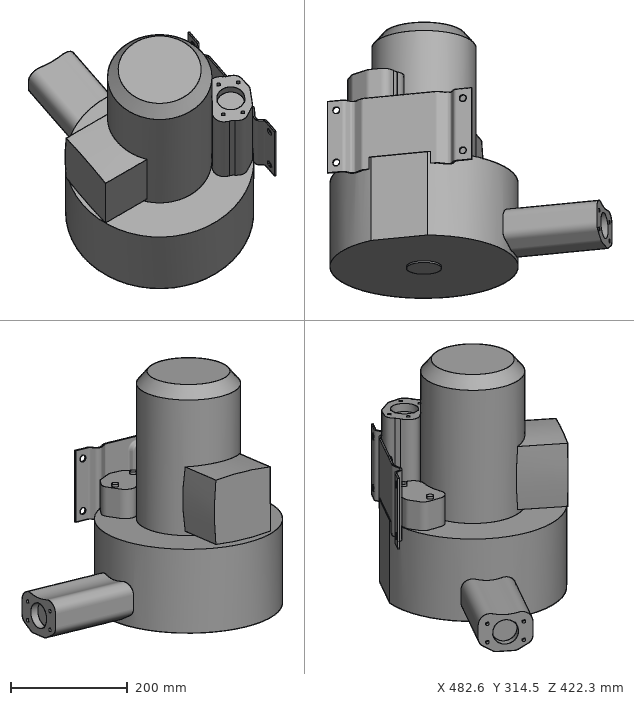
import cadquery as cq
import math

housing_radius = 161.25
housing_height = 152.0
back_flat_y = 153.25
foot_radius = 30.0
foot_height = 3.0

motor_radius = 89.4
motor_top_z = 419.3
motor_cap_radius = 71.0
motor_cap_height = 21.8

box_half_width = 58.3
box_height = 116.4
box_center_z = 218.2
box_front_y = -155.0
box_bulge = 3.1

concave_radius = motor_radius
lobe_radius = 20.0
lobe_center_u = 27.7
body_half_width = lobe_center_u + lobe_radius
body_bottom_v = -156.9
lower_corner_radius = 16.4
lower_side_angle = 30.0
bottom_edge_radius = 13.0
side_straight_length = 25.0
port_v = -121.4
screw_offset_u = 31.7
screw_offset_v = 17.0
screw_hole_radius = 3.0
screw_hole_depth = 10.0
port_depth = 15.0

spout_end_x = -321.32
spout_port_z = 43.0
spout_port_radius = 22.4

silencer_turn = 28.0
silencer_clearance = 1.3
open_silencer_top_z = 313.0
open_silencer_port_radius = 24.0
groove_v = -118.2
groove_width = 9.5
groove_depth = 1.0

closed_silencer_top_z = 205.0
pin_radius = 6.0
pin_height = 4.5
pin_offset_u = 36.5
pin_v = port_v + silencer_clearance

plate_thickness = 3.0
bracket_bottom_z = 130.7
bracket_top_z = 260.3
bracket_mid_z = (bracket_bottom_z + bracket_top_z) / 2
bracket_end_x = 128.3
flange_bend_x = 98.0
valley_outer_x = 89.0
valley_inner_x = 82.5
web_bend_x = 67.0
valley_back_y = 141.5
web_back_y = 151.6
web_front_y = web_back_y - plate_thickness
inner_bend_radius = 5.0
outer_bend_radius = inner_bend_radius + plate_thickness
bracket_hole_x = 112.7
bracket_hole_spacing = 95.0
bracket_hole_radius = 6.0

rib_half_width = 15.0
rib_front_y = 140.5
rib_top_z = 252.0
rib_bottom_z = 2 * bracket_mid_z - rib_top_z
rib_edge_fillet = 3.5
rib_draft_angle = 25.0

select_margin = 0.1


def silencer_outline(plane):
    """Closed silencer cross-section on a workplane whose origin is the concave centre."""
    center_gap = concave_radius + lobe_radius
    lobe_v = -math.sqrt(center_gap**2 - lobe_center_u**2)
    blend = concave_radius / center_gap
    blend_u = lobe_center_u * blend
    blend_v = lobe_v * blend
    lobe_mid_angle = (math.atan2(-lobe_v, -lobe_center_u)) / 2
    lobe_mid_u = lobe_center_u + lobe_radius * math.cos(lobe_mid_angle)
    lobe_mid_v = lobe_v + lobe_radius * math.sin(lobe_mid_angle)

    corner_u = body_half_width - lower_corner_radius
    corner_v = lobe_v - side_straight_length
    slope = math.radians(lower_side_angle)
    slope_u = corner_u + lower_corner_radius * math.sin(slope)
    slope_v = corner_v - lower_corner_radius * math.cos(slope)
    corner_mid_angle = (math.pi / 2 - slope) / 2
    corner_mid_u = corner_u + lower_corner_radius * math.cos(corner_mid_angle)
    corner_mid_v = corner_v - lower_corner_radius * math.sin(corner_mid_angle)
    edge_u = slope_u - (slope_v - body_bottom_v) / math.tan(slope)
    edge_length = bottom_edge_radius * math.tan(slope / 2)
    flat_u = edge_u - edge_length
    edge_mid_u = flat_u + bottom_edge_radius * math.sin(slope / 2)
    edge_mid_v = body_bottom_v + bottom_edge_radius * (1 - math.cos(slope / 2))
    edge_top_u = flat_u + bottom_edge_radius * math.sin(slope)
    edge_top_v = body_bottom_v + bottom_edge_radius * (1 - math.cos(slope))

    return (
        plane.moveTo(-blend_u, blend_v)
        .threePointArc((0, -concave_radius), (blend_u, blend_v))
        .threePointArc((lobe_mid_u, lobe_mid_v), (body_half_width, lobe_v))
        .lineTo(body_half_width, corner_v)
        .threePointArc((corner_mid_u, corner_mid_v), (slope_u, slope_v))
        .lineTo(edge_top_u, edge_top_v)
        .threePointArc((edge_mid_u, edge_mid_v), (flat_u, body_bottom_v))
        .lineTo(-flat_u, body_bottom_v)
        .threePointArc((-edge_mid_u, edge_mid_v), (-edge_top_u, edge_top_v))
        .lineTo(-slope_u, slope_v)
        .threePointArc((-corner_mid_u, corner_mid_v), (-body_half_width, corner_v))
        .lineTo(-body_half_width, lobe_v)
        .threePointArc((-lobe_mid_u, lobe_mid_v), (-blend_u, blend_v))
        .close()
    )


def port_and_screw_holes(plane, port_radius):
    """Blind port with four screw holes, cut along the negative normal of the end face."""
    screw_points = [
        (side * screw_offset_u, port_v + row * screw_offset_v) for side in (-1, 1) for row in (-1, 1)
    ]
    port = plane.center(0, port_v).circle(port_radius).extrude(-port_depth)
    screws = plane.pushPoints(screw_points).circle(screw_hole_radius).extrude(-screw_hole_depth)
    return port.union(screws)


def silencer_plane(angle, z):
    """Horizontal plane near the motor axis, its -V axis turned from the back (+Y) towards +X by `angle`."""
    turn = math.radians(angle)
    away_x = math.sin(turn)
    away_y = math.cos(turn)
    origin = (silencer_clearance * away_x, silencer_clearance * away_y, z)
    return cq.Workplane(cq.Plane(origin=origin, xDir=(-away_y, away_x, 0), normal=(0, 0, 1)))


def make_housing():
    drum = cq.Workplane("XY").circle(housing_radius).extrude(housing_height)
    behind_flat = cq.Workplane("XY").box(
        2 * housing_radius, housing_radius, housing_height, centered=(True, False, False)
    ).translate((0, back_flat_y, 0))
    foot = cq.Workplane("XY").circle(foot_radius).extrude(-foot_height)
    return drum.cut(behind_flat).union(foot)


def make_motor():
    return (
        cq.Workplane("XZ")
        .lineTo(motor_radius, 0)
        .lineTo(motor_radius, motor_top_z - motor_cap_height)
        .lineTo(motor_cap_radius, motor_top_z)
        .lineTo(0, motor_top_z)
        .close()
        .revolve(360, (0, 0, 0), (0, 1, 0))
    )


def make_terminal_box():
    """Box whose left, top and bottom sides bulge outwards; the right side is flat."""
    half = box_half_width
    low = box_center_z - box_height / 2
    high = box_center_z + box_height / 2
    return (
        cq.Workplane("XZ")
        .moveTo(half, low)
        .lineTo(half, high)
        .threePointArc((0, high + box_bulge), (-half, high))
        .threePointArc((-half - box_bulge, box_center_z), (-half, low))
        .threePointArc((0, low - box_bulge), (half, low))
        .close()
        .extrude(-box_front_y)
    )


def make_spout():
    end_plane = cq.Workplane(
        cq.Plane(origin=(spout_end_x, 0, spout_port_z - port_v), xDir=(0, -1, 0), normal=(-1, 0, 0))
    )
    body = silencer_outline(end_plane).extrude(spout_end_x)
    return body.cut(port_and_screw_holes(end_plane, spout_port_radius))


def make_open_silencer():
    top = silencer_plane(silencer_turn, open_silencer_top_z)
    body = silencer_outline(top).extrude(housing_height - open_silencer_top_z)
    groove_points = [(side * body_half_width, groove_v) for side in (-1, 1)]
    grooves = (
        top.pushPoints(groove_points)
        .rect(2 * groove_depth, groove_width)
        .extrude(housing_height - open_silencer_top_z)
    )
    return body.cut(grooves).cut(port_and_screw_holes(top, open_silencer_port_radius))


def make_closed_silencer():
    top = silencer_plane(-silencer_turn, closed_silencer_top_z)
    body = silencer_outline(top).extrude(housing_height - closed_silencer_top_z)
    pin_points = [(side * pin_offset_u, pin_v) for side in (-1, 1)]
    pins = top.pushPoints(pin_points).circle(pin_radius).extrude(pin_height)
    return body.union(pins)


def bend_edges_at(y):
    """Selector for the upright bend edges of the bracket sheet at depth `y`."""
    reach = flange_bend_x + plate_thickness
    return cq.selectors.BoxSelector(
        (-reach, y - select_margin, bracket_mid_z - select_margin),
        (reach, y + select_margin, bracket_mid_z + select_margin),
    )


def make_bracket():
    """Bent sheet: two end flanges, two valleys and a central web."""
    slope_out = math.atan2(back_flat_y - valley_back_y, flange_bend_x - valley_outer_x)
    slope_in = math.atan2(web_back_y - valley_back_y, valley_inner_x - web_bend_x)
    shift_out = plate_thickness * math.tan(slope_out / 2)
    shift_in = plate_thickness * math.tan(slope_in / 2)
    back_line = [
        (bracket_end_x, back_flat_y),
        (flange_bend_x, back_flat_y),
        (valley_outer_x, valley_back_y),
        (valley_inner_x, valley_back_y),
        (web_bend_x, web_back_y),
    ]
    front_shifts = [0, shift_out, shift_out, -shift_in, -shift_in]
    front_line = [(x + s, y - plate_thickness) for (x, y), s in zip(back_line, front_shifts)]
    right_side = back_line[::-1] + front_line
    left_side = [(-x, y) for x, y in reversed(right_side)]
    sheet = (
        cq.Workplane("XY", origin=(0, 0, bracket_bottom_z))
        .polyline(right_side + left_side)
        .close()
        .extrude(bracket_top_z - bracket_bottom_z)
    )
    valley_front_y = valley_back_y - plate_thickness
    flange_front_y = back_flat_y - plate_thickness
    for y in (valley_back_y, web_front_y, flange_front_y):
        sheet = sheet.edges(bend_edges_at(y)).fillet(inner_bend_radius)
    for y in (valley_front_y, web_back_y, back_flat_y):
        sheet = sheet.edges(bend_edges_at(y)).fillet(outer_bend_radius)
    hole_points = [
        (side * bracket_hole_x, bracket_mid_z + row * bracket_hole_spacing / 2)
        for side in (-1, 1)
        for row in (-1, 1)
    ]
    holes = (
        cq.Workplane("XZ", origin=(0, back_flat_y, 0))
        .pushPoints(hole_points)
        .circle(bracket_hole_radius)
        .extrude(plate_thickness)
    )
    rib = (
        cq.Workplane("XZ", origin=(0, web_front_y, bracket_mid_z))
        .slot2D(rib_top_z - rib_bottom_z, 2 * rib_half_width, 90)
        .extrude(web_front_y - rib_front_y, taper=rib_draft_angle)
        .faces("<Y")
        .edges()
        .fillet(rib_edge_fillet)
    )
    foot_zone = cq.selectors.BoxSelector(
        (-rib_half_width - select_margin, web_front_y - select_margin, rib_bottom_z - select_margin),
        (rib_half_width + select_margin, web_front_y + select_margin, rib_top_z + select_margin),
    )
    return sheet.union(rib).edges(foot_zone).fillet(rib_edge_fillet).cut(holes)


result = (
    make_housing()
    .union(make_motor())
    .union(make_terminal_box())
    .union(make_spout())
    .union(make_open_silencer())
    .union(make_closed_silencer())
    .union(make_bracket())
)